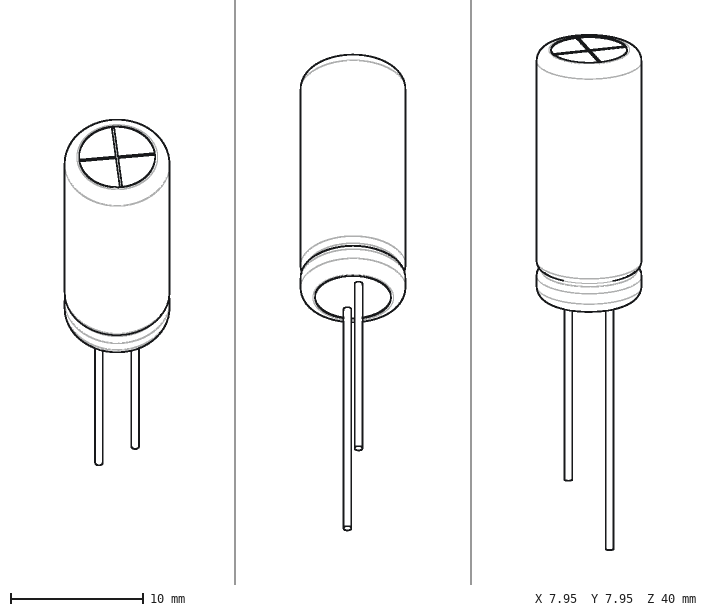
import cadquery as cq
import math


sleeve_diameter = 7.95
sleeve_height = 20.0
sleeve_thickness = 0.1
opening_diameter = 5.75
corner_radius = 0.9

groove_root_diameter = 7.1
groove_height = 2.35
groove_half_width = 0.6
groove_shoulder_half_width = 0.1
groove_depth = (sleeve_diameter - groove_root_diameter) / 2
flank_angle = 2 * math.atan(groove_depth / groove_half_width)
root_radius = groove_shoulder_half_width / math.sin(flank_angle)
shoulder_radius = (groove_half_width - groove_shoulder_half_width) / math.sin(flank_angle)

vent_width = 0.18
vent_depth = 0.1
vent_angles = (45, 135)

lead_diameter = 0.6
lead_offset = 1.75
long_lead_length = 20.0
short_lead_length = 15.0
leads = ((-lead_offset, long_lead_length), (lead_offset, short_lead_length))


def point_on_arc(center, radius, angle):
    """Point at an angle in radians, measured from the outward radial direction, on an arc."""
    return (center[0] + radius * math.cos(angle), center[1] + radius * math.sin(angle))


def crimped_cylinder(inset):
    """Solid cylinder with round rims and the crimped groove, its surface set in by a distance."""
    outer_radius = sleeve_diameter / 2
    wall_radius = outer_radius - inset
    top = sleeve_height - inset
    bottom = inset

    rim_radius = corner_radius - inset
    rim_x = outer_radius - corner_radius
    bottom_rim = (rim_x, corner_radius)
    top_rim = (rim_x, sleeve_height - corner_radius)

    convex_radius = shoulder_radius - inset
    concave_radius = root_radius + inset
    shoulder_x = outer_radius - shoulder_radius
    lower_shoulder = (shoulder_x, groove_height - groove_half_width)
    upper_shoulder = (shoulder_x, groove_height + groove_half_width)
    root = (groove_root_diameter / 2 + root_radius, groove_height)

    profile = (
        cq.Workplane("XZ")
        .moveTo(0, bottom)
        .lineTo(rim_x, bottom)
        .threePointArc(point_on_arc(bottom_rim, rim_radius, -math.pi / 4), (wall_radius, bottom_rim[1]))
        .lineTo(wall_radius, lower_shoulder[1])
        .threePointArc(
            point_on_arc(lower_shoulder, convex_radius, flank_angle / 2),
            point_on_arc(lower_shoulder, convex_radius, flank_angle),
        )
        .threePointArc(
            (root[0] - concave_radius, groove_height),
            point_on_arc(root, concave_radius, math.pi - flank_angle),
        )
        .threePointArc(
            point_on_arc(upper_shoulder, convex_radius, -flank_angle / 2),
            (wall_radius, upper_shoulder[1]),
        )
        .lineTo(wall_radius, top_rim[1])
        .threePointArc(point_on_arc(top_rim, rim_radius, math.pi / 4), (rim_x, top))
        .lineTo(0, top)
        .close()
    )
    return profile.revolve(360, (0, 0, 0), (0, 1, 0))


def make_sleeve():
    """Thin shell that hugs the can and is open in the middle of both ends."""
    opening = cq.Workplane("XY").circle(opening_diameter / 2).extrude(sleeve_height)
    return crimped_cylinder(0).cut(crimped_cylinder(sleeve_thickness)).cut(opening)


def make_can():
    """Can that fills the sleeve, with the vent cross on top and the leads hanging below."""
    can = crimped_cylinder(sleeve_thickness)
    can_top = sleeve_height - sleeve_thickness
    for angle in vent_angles:
        score = (
            cq.Workplane("XY")
            .workplane(offset=can_top - vent_depth)
            .transformed(rotate=(0, 0, angle))
            .rect(opening_diameter, vent_width)
            .extrude(vent_depth)
        )
        can = can.cut(score)
    for lead_x, length in leads:
        lead = (
            cq.Workplane("XY")
            .workplane(offset=-length)
            .center(lead_x, 0)
            .circle(lead_diameter / 2)
            .extrude(length + sleeve_thickness)
        )
        can = can.union(lead)
    return can


sleeve = make_sleeve()
can = make_can()

result = cq.Compound.makeCompound([sleeve.val(), can.val()])